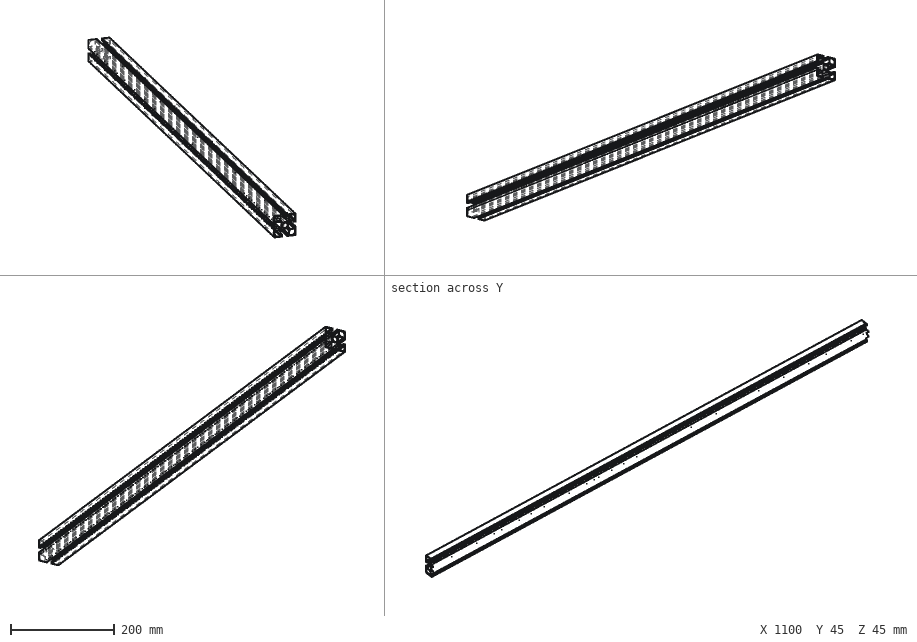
import cadquery as cq

length = 1100.0
width = 45.0
half_width = width / 2
corner_radius = 2.5

mouth_width = 10.0
lip_thickness = 3.65
channel_width = 16.4
shoulder_depth = 11.4
floor_depth = 15.35
floor_width = 13.6

outer_wall = 2.0
chamber_width = 11.3
chamber_outer_radius = 5.0
chamber_inner_radius = 4.2

bore_diameter = 10.7

sides = 4
side_angle = 360 / sides


def bar():
    """Solid square bar along X with rounded long edges."""
    block = cq.Workplane("YZ").rect(width, width).extrude(length / 2, both=True)
    return block.edges("|X").fillet(corner_radius)


def slot():
    """Cutter for the T-slot in the +Z side, with a floor that tapers inwards."""
    lip_bottom = half_width - lip_thickness
    shoulder = half_width - shoulder_depth
    floor = half_width - floor_depth
    right_side = [
        (mouth_width / 2, half_width),
        (mouth_width / 2, lip_bottom),
        (channel_width / 2, lip_bottom),
        (channel_width / 2, shoulder),
        (floor_width / 2, floor),
    ]
    left_side = [(-y, z) for y, z in reversed(right_side)]
    return cq.Workplane("YZ").polyline(right_side + left_side).close().extrude(length / 2, both=True)


def chamber():
    """Cutter for the hollow in the +Y +Z corner, open at both ends."""
    centre = half_width - outer_wall - chamber_width / 2
    block = (
        cq.Workplane("YZ")
        .center(centre, centre)
        .rect(chamber_width, chamber_width)
        .extrude(length / 2, both=True)
    )
    block = block.edges("|X and (>Y and >Z)").fillet(chamber_outer_radius)
    return block.edges("|X and (<Y and <Z)").fillet(chamber_inner_radius)


def bore():
    """Cutter for the round hole along the centre line."""
    return cq.Workplane("YZ").circle(bore_diameter / 2).extrude(length / 2, both=True)


result = bar().cut(bore())
for cutter in (slot(), chamber()):
    for side in range(sides):
        result = result.cut(cutter.rotate((0, 0, 0), (1, 0, 0), side * side_angle))